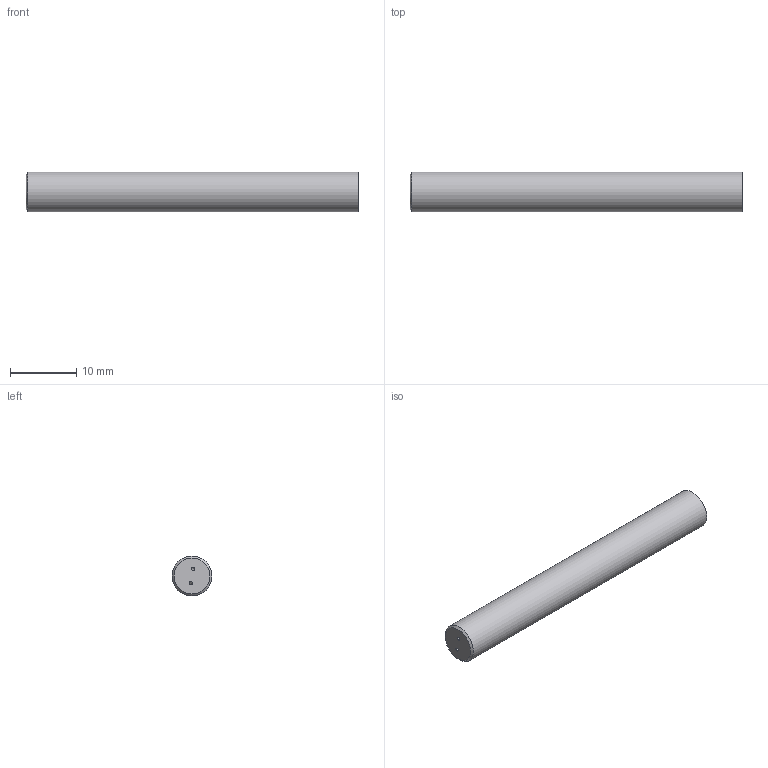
import cadquery as cq
import math

rod_diameter = 6.0
rod_length = 50.0
chamfer = 0.3

channel_count = 2
channel_diameter = 0.5
channel_circle_diameter = 2.2
helix_angle = 40.0
exit_angle = 180.0

full_turn = 360.0
helix_lead = math.pi * rod_diameter / math.tan(math.radians(helix_angle))
twist_angle = full_turn * rod_length / helix_lead
entry_angle = (exit_angle - twist_angle) % full_turn


def entry_plane():
    """Workplane on the entry face, normal to the rod axis."""
    return cq.Workplane("YZ", origin=(-rod_length, 0, 0))


def rod_body():
    """Cylinder along X with its entry edge chamfered."""
    rod = entry_plane().circle(rod_diameter / 2).extrude(rod_length)
    return rod.faces("<X").chamfer(chamfer)


def coolant_channels():
    """Equally spaced channels twisted together along the full rod."""
    return (
        entry_plane()
        .polarArray(channel_circle_diameter / 2, entry_angle, full_turn, channel_count)
        .circle(channel_diameter / 2)
        .twistExtrude(rod_length, twist_angle)
    )


result = rod_body().cut(coolant_channels())